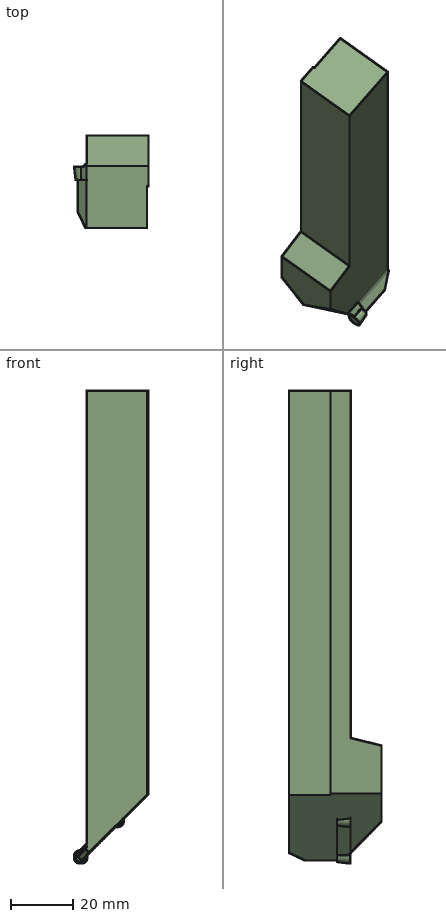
import cadquery as cq
import math

total_height = 152.4
shank_width = 20.0
shank_depth = 20.0
relief_step = 0.5
relief_depth = 13.4

head_depth = 29.9
head_shoulder_z = 40.5
head_back_z = 38.1

insert_radius = 2.21
insert_top_y = 19.8
insert_thickness = 4.3
insert_seat_y = insert_top_y - insert_thickness
insert_end_spacing = 16.6
neck_width = 1.8
clearance_angle = 7.0
insert_overhang = 4.1

nose_bottom = -1.0
blade_top = 0.8
jaw_top = 1.7
blade_end = -0.6
blade_front_end = 2.9
blade_corner_y = 5.2
jaw_end = 1.8
nose_root = 7.6
blade_fillet = 1.2
head_slant_start = 2.7
head_slant_end = 17.2
cut_margin = 45.7

insert_x = insert_radius - insert_overhang
insert_z = insert_radius

axis_direction = (1, 0, 1)
across_direction = (-1, 0, 1)


def nose_plane(across):
    """Plane of insert-axis and Y directions, at a distance across the axis."""
    shift = across / math.sqrt(2)
    origin = (insert_x - shift, 0, insert_z + shift)
    return cq.Workplane(cq.Plane(origin, axis_direction, across_direction))


def make_insert():
    plane = cq.Plane((insert_x, insert_top_y, insert_z), axis_direction, (0, -1, 0))
    neck = (
        cq.Workplane(plane)
        .center(insert_end_spacing / 2, 0)
        .rect(insert_end_spacing, neck_width)
        .extrude(insert_thickness)
    )
    body = neck
    for along in (0, insert_end_spacing):
        round_end = (
            cq.Workplane(plane)
            .center(along, 0)
            .circle(insert_radius)
            .extrude(insert_thickness, taper=clearance_angle)
        )
        body = body.union(round_end)
    return body


def make_shank():
    """Shank and head in side profile, with the sloped lower end and relief cut."""
    profile = [
        (0, 0),
        (head_depth, 0),
        (head_depth, head_back_z),
        (shank_depth, head_shoulder_z),
        (shank_depth, total_height),
        (0, total_height),
    ]
    shank = cq.Workplane("YZ").polyline(profile).close().extrude(shank_width)
    below_lower_end = (
        nose_plane(nose_bottom)
        .rect(4 * cut_margin, 4 * cut_margin)
        .extrude(-cut_margin)
    )
    relief = cq.Workplane("XY").box(relief_step, relief_depth, total_height, centered=False)
    relief = relief.translate((shank_width - relief_step, 0, 0))
    return shank.cut(below_lower_end).cut(relief)


def make_blade():
    """Thin support under the insert."""
    profile = [
        (blade_end, 0),
        (nose_root, 0),
        (nose_root, insert_seat_y),
        (blade_end, insert_seat_y),
    ]
    return nose_plane(nose_bottom).polyline(profile).close().extrude(blade_top - nose_bottom)


def make_front_corner():
    """Material removed at the slanted front corner of the blade and shank tip."""
    profile = [
        (blade_end, blade_corner_y),
        (blade_front_end, 0),
        (blade_end, 0),
    ]
    return nose_plane(nose_bottom).polyline(profile).close().extrude(blade_top - nose_bottom)


def make_jaw():
    """Thicker part of the nose that grips the insert."""
    profile = [
        (jaw_end, insert_seat_y),
        (nose_root, insert_seat_y),
        (nose_root, head_depth),
        (jaw_end, head_depth),
    ]
    return nose_plane(nose_bottom).polyline(profile).close().extrude(jaw_top - nose_bottom)


def make_head_slant():
    """Material removed behind the insert tip by the slanted face of the head."""
    slope = (head_slant_end - head_slant_start) / (head_depth - insert_top_y)
    outer_y = head_depth + cut_margin
    outer_along = head_slant_start + slope * (outer_y - insert_top_y)
    profile = [
        (head_slant_start, insert_top_y),
        (outer_along, outer_y),
        (-cut_margin, outer_y),
        (-cut_margin, insert_top_y),
    ]
    return nose_plane(-cut_margin).polyline(profile).close().extrude(2 * cut_margin)


def make_holder(insert):
    body = make_shank().union(make_blade())
    corner_z = insert_z - insert_x + blade_top * math.sqrt(2)
    corner = cq.selectors.NearestToPointSelector((0, insert_seat_y / 2, corner_z))
    body = body.edges("|Y").edges(corner).fillet(blade_fillet)
    body = body.cut(make_front_corner())
    return body.union(make_jaw()).cut(make_head_slant()).cut(insert)


insert = make_insert()
holder = make_holder(insert)

result = cq.Compound.makeCompound([holder.val(), insert.val()])